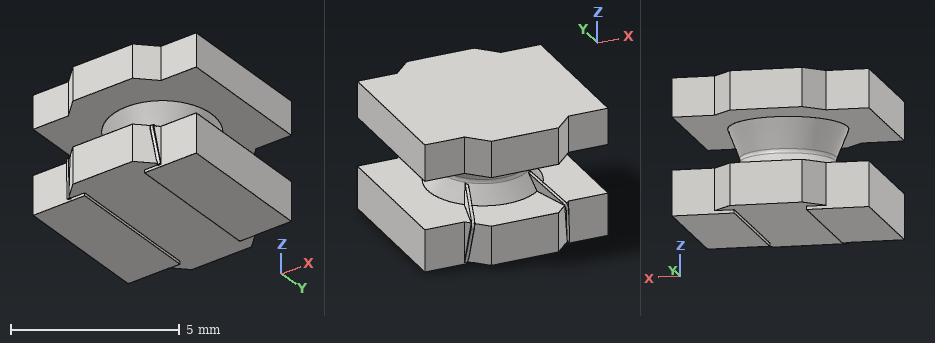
import cadquery as cq
import math

FLANGE_LENGTH = 6.0
FLANGE_WIDTH = 6.0
TAB_DEPTH = 0.6
TAB_TIP_WIDTH = 2.2
LOWER_FLANGE_HEIGHT = 1.3
UPPER_FLANGE_HEIGHT = 1.2

TERMINAL_HEIGHT = 0.1
CORE_HEIGHT = 1.6
CORE_BOTTOM = TERMINAL_HEIGHT + LOWER_FLANGE_HEIGHT
CORE_TOP = CORE_BOTTOM + CORE_HEIGHT

CORE_END_RADIUS = 1.8
WAIST_RADIUS = 1.42
WAIST_LEVEL = 2.03
WAIST_FILLET = 0.15

LEAD_THICKNESS = 0.1
LEAD_START = (-1.005, -1.04, 1.94)
LEAD_HEADING = 15.4
LEAD_TILT = 8.0
LEAD_REACH = 1.725
LEAD_DROP = 0.534
LEAD_FOOT_REACH = 1.54
LEAD_FOOT_DROP = 1.88
LEAD_BEND_RADIUS = 0.22
LEAD_CORE_OVERLAP = 0.1
LEAD_FOOT_OVERLAP = 0.4

BODY_WIDTH = FLANGE_WIDTH - 2 * TAB_DEPTH
TAB_ROOT_WIDTH = TAB_TIP_WIDTH + 2 * TAB_DEPTH


def make_flange(bottom, height):
    """Rectangular plate with one tapered tab on each Y edge."""
    tabs = [
        (-TAB_ROOT_WIDTH / 2, -BODY_WIDTH / 2),
        (-TAB_TIP_WIDTH / 2, -FLANGE_WIDTH / 2),
        (TAB_TIP_WIDTH / 2, -FLANGE_WIDTH / 2),
        (TAB_ROOT_WIDTH / 2, -BODY_WIDTH / 2),
        (TAB_ROOT_WIDTH / 2, BODY_WIDTH / 2),
        (TAB_TIP_WIDTH / 2, FLANGE_WIDTH / 2),
        (-TAB_TIP_WIDTH / 2, FLANGE_WIDTH / 2),
        (-TAB_ROOT_WIDTH / 2, BODY_WIDTH / 2),
    ]
    base = cq.Workplane("XY").workplane(offset=bottom)
    plate = base.rect(FLANGE_LENGTH, BODY_WIDTH).extrude(height)
    return plate.union(base.polyline(tabs).close().extrude(height))


def make_core():
    """Waisted core revolved about the Z axis."""
    half_section = [
        (0, CORE_BOTTOM),
        (CORE_END_RADIUS, CORE_BOTTOM),
        (WAIST_RADIUS, WAIST_LEVEL),
        (CORE_END_RADIUS, CORE_TOP),
        (0, CORE_TOP),
    ]
    core = cq.Workplane("XZ").polyline(half_section).close().revolve(360, (0, 0), (0, 1))
    waist_center = (0, 0, WAIST_LEVEL)
    waist_edge = cq.selectors.NearestToPointSelector(waist_center)
    return core.edges("%CIRCLE").edges(waist_edge).fillet(WAIST_FILLET)


def make_left_terminal():
    """Thin pad under the -X end of the lower flange."""
    length = (FLANGE_LENGTH - TAB_TIP_WIDTH) / 2
    pad = cq.Workplane("XY").box(length, BODY_WIDTH, TERMINAL_HEIGHT, centered=(False, True, False))
    return pad.translate((-FLANGE_LENGTH / 2, 0, 0))


def make_left_lead():
    """Bent plate running from the core over the flange edge to the terminal."""
    heading = math.radians(LEAD_HEADING)
    tilt = math.radians(LEAD_TILT)
    outward = (-math.sin(heading), -math.cos(heading), 0)
    normal = (
        -math.cos(heading) * math.cos(tilt),
        math.sin(heading) * math.cos(tilt),
        math.sin(tilt),
    )
    plane = cq.Plane(origin=LEAD_START, xDir=outward, normal=normal)
    bend = (LEAD_REACH, -LEAD_DROP)
    start_rise = LEAD_CORE_OVERLAP * LEAD_DROP / LEAD_REACH
    profile = [
        (-LEAD_CORE_OVERLAP, start_rise),
        bend,
        (LEAD_FOOT_REACH, -LEAD_FOOT_DROP),
        (LEAD_FOOT_REACH - LEAD_FOOT_OVERLAP, -LEAD_FOOT_DROP),
    ]
    lead = cq.Workplane(plane).polyline(profile).close().extrude(LEAD_THICKNESS / 2, both=True)
    bend_edge = cq.selectors.NearestToPointSelector(plane.toWorldCoords(bend).toTuple())
    return lead.edges(bend_edge).fillet(LEAD_BEND_RADIUS)


result = make_flange(TERMINAL_HEIGHT, LOWER_FLANGE_HEIGHT)
result = result.union(make_core())
result = result.union(make_flange(CORE_TOP, UPPER_FLANGE_HEIGHT))
for left_feature in (make_left_terminal(), make_left_lead()):
    result = result.union(left_feature).union(left_feature.mirror("YZ"))